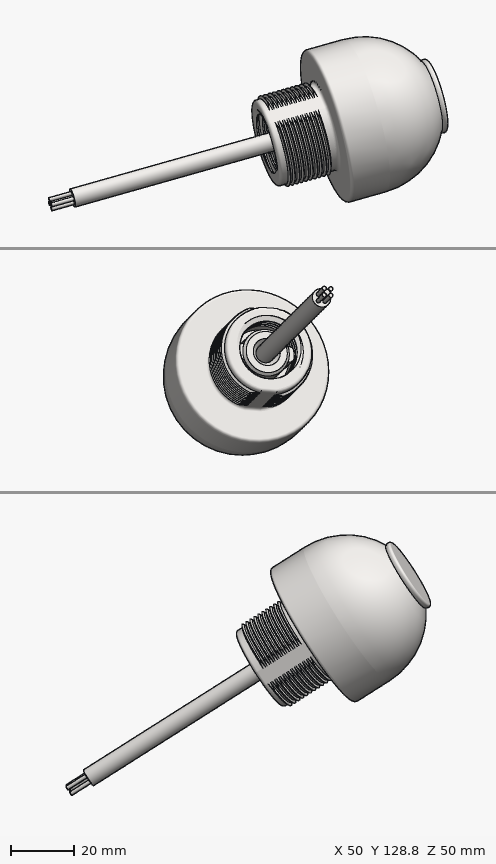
import cadquery as cq
import math


dome_radius = 25.0
dome_skirt_height = 13.0
dome_edge_fillet = 1.0
cap_radius = 12.05
cap_waist_radius = 11.7
cap_top = 37.0
cap_fillet = 0.8

neck_length = 20.0
neck_root_radius = 14.1
neck_flat_width = 5.1
neck_fillet = 1.0
thread_radius = 15.0
thread_pitch = 1.5
thread_start = -17.6
thread_left_ridges = 11
thread_right_ridges = 10
thread_ridge_turns = 170 / 360
thread_half_width = 0.6
thread_half_crest = 0.02
thread_overlap = 0.3

socket_radius = 9.5
socket_floor = -8.0
groove_radius = 11.2
groove_pitch = 2.0
groove_turns = 4.5
groove_half_width = 0.8
groove_half_crest = 0.25
groove_overlap = 0.1
groove_start = -neck_length - 3 / 4 * groove_pitch

gland_radius = 7.6
gland_chamfer = 0.9
gland_face = -17.0
gland_key_reach = 9.1
gland_key_height = 5.0
gland_key_corner = 1.4
gland_bore_radius = 4.4
gland_bore_depth = 2.0

cable_radius = 3.0
cable_end = -84.4
wire_end = -91.82
wire_radius = 0.68
wire_offset = 1.07
core_radius = 0.95
core_setback = 0.5

edge_tolerance = 0.01


def rod(radius, y_from, y_to):
    """Cylinder on the Y axis between two heights."""
    return cq.Workplane("XZ", origin=(0, y_to, 0)).circle(radius).extrude(y_to - y_from)


def helical_ridge(root_radius, crest_radius, half_width, half_crest, pitch, turns, y_from):
    """Trapezoidal right-hand ridge wound about the Y axis, starting at +X."""
    helix = cq.Wire.makeHelix(pitch, pitch * turns, root_radius)
    profile = cq.Workplane("XZ").polyline([
        (root_radius, -half_width),
        (crest_radius, -half_crest),
        (crest_radius, half_crest),
        (root_radius, half_width),
    ]).close()
    ridge = profile.sweep(cq.Workplane(obj=helix), isFrenet=True)
    return ridge.rotate((0, 0, 0), (1, 0, 0), -90).translate((0, y_from, 0))


def make_dome():
    """Dome on a cylindrical skirt, topped by a cap with a rounded rim."""
    waist_angle = math.acos(cap_waist_radius / dome_radius)
    waist_height = dome_skirt_height + dome_radius * math.sin(waist_angle)
    arc_middle = (
        dome_radius * math.cos(waist_angle / 2),
        dome_skirt_height + dome_radius * math.sin(waist_angle / 2),
    )
    dome = (
        cq.Workplane("XY")
        .moveTo(0, cap_top)
        .lineTo(cap_radius - cap_fillet, cap_top)
        .tangentArcPoint((cap_radius, cap_top - cap_fillet), relative=False)
        .tangentArcPoint((cap_waist_radius, waist_height), relative=False)
        .threePointArc(arc_middle, (dome_radius, dome_skirt_height))
        .lineTo(dome_radius, 0)
        .lineTo(0, 0)
        .close()
        .revolve(360, (0, 0, 0), (0, 1, 0))
    )
    return dome.faces("<Y").edges().fillet(dome_edge_fillet)


def flats_slab(x_from, x_to):
    """Slab between the two flats of the neck, limited along X."""
    flat_height = 2 * math.sqrt(neck_root_radius**2 - (neck_flat_width / 2) ** 2)
    slab = cq.Workplane("XY").box(x_to - x_from, 2 * neck_length, flat_height)
    return slab.translate(((x_from + x_to) / 2, 0, 0))


def make_neck_on(dome):
    """Dome joined to the plain neck with its flats, filleted at both ends of the neck."""
    neck = rod(neck_root_radius, -neck_length, 0).intersect(flats_slab(-thread_radius, thread_radius))
    neck = neck.faces("<Y").edges().fillet(neck_fillet)
    body = dome.union(neck)
    root_edges = cq.selectors.BoxSelector(
        (-thread_radius, -edge_tolerance, -thread_radius),
        (thread_radius, edge_tolerance, thread_radius),
        boundingbox=True,
    )
    return body.edges(root_edges).fillet(neck_fillet)


def make_thread_ridges():
    """Outer thread: the flats leave one ridge on the left and one on the right in every turn."""
    ridge = helical_ridge(
        neck_root_radius - thread_overlap,
        thread_radius,
        thread_half_width,
        thread_half_crest,
        thread_pitch,
        thread_ridge_turns,
        -thread_pitch * thread_ridge_turns / 2,
    )
    centred_ridge = ridge.rotate((0, 0, 0), (0, 1, 0), -180 * thread_ridge_turns)
    right_ridge = centred_ridge.intersect(flats_slab(neck_flat_width / 2, 2 * thread_radius))
    left_ridge = right_ridge.rotate((0, 0, 0), (0, 1, 0), 180)
    ridges = []
    for turn in range(thread_left_ridges):
        ridges.append(left_ridge.translate((0, thread_start + turn * thread_pitch, 0)).val())
    for turn in range(thread_right_ridges):
        ridges.append(right_ridge.translate((0, thread_start + (turn + 0.5) * thread_pitch, 0)).val())
    return ridges


def make_socket_groove():
    """Inner thread groove, which runs out through the mouth of the socket."""
    return helical_ridge(
        socket_radius - groove_overlap,
        groove_radius,
        groove_half_width,
        groove_half_crest,
        groove_pitch,
        groove_turns,
        groove_start,
    )


def make_gland():
    """Chamfered boss with two side keys and a conical mouth around the cable."""
    gland = rod(gland_radius, gland_face, socket_floor).faces("<Y").edges().chamfer(gland_chamfer)
    keys = (
        cq.Workplane("XY")
        .box(2 * gland_key_reach, socket_floor - gland_face - gland_chamfer, gland_key_height)
        .edges("|Y")
        .fillet(gland_key_corner)
        .translate((0, (socket_floor + gland_face + gland_chamfer) / 2, 0))
    )
    bore = cq.Workplane(obj=cq.Solid.makeCone(
        gland_bore_radius, cable_radius, gland_bore_depth, cq.Vector(0, gland_face, 0), cq.Vector(0, 1, 0)
    ))
    return gland.union(keys).cut(bore)


def make_cable():
    """Cable with four bare wires around a slightly shorter core."""
    cable = rod(cable_radius, cable_end, socket_floor)
    for x_side in (-1, 1):
        for z_side in (-1, 1):
            wire = rod(wire_radius, wire_end, cable_end)
            cable = cable.union(wire.translate((x_side * wire_offset, 0, z_side * wire_offset)))
    return cable.union(rod(core_radius, wire_end + core_setback, cable_end))


body = make_neck_on(make_dome()).cut(rod(socket_radius, -neck_length, socket_floor))
body = body.cut(make_socket_groove(), clean=False)
body = body.union(make_gland(), clean=False).union(make_cable(), clean=False)
result = cq.Workplane(obj=body.val().fuse(*make_thread_ridges()))